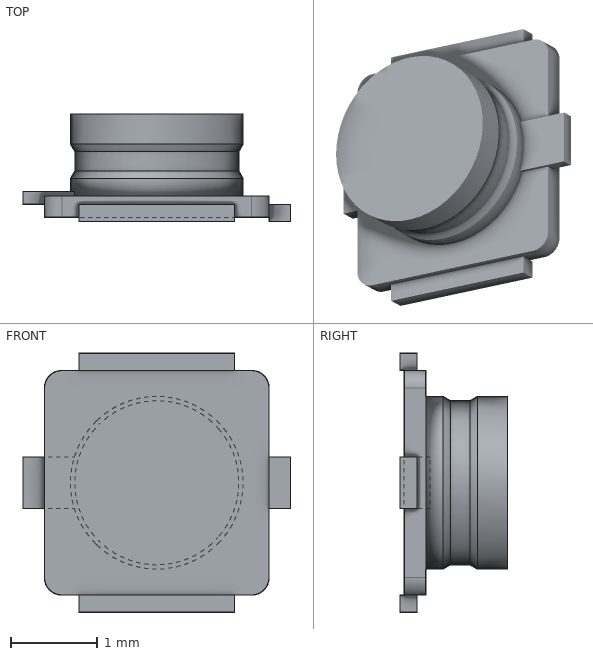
import cadquery as cq
import math

length_x = 3.1
height_y = 1.25
length_z = 3.0

plate_side = 2.6
plate_corner_radius = 0.2
plate_standoff = 0.05
plate_thickness = 0.25
plate_back = plate_standoff + plate_thickness

pad_thickness = 0.2
ground_pad_width = 1.8
contact_width = 0.6

tab_bottom = pad_thickness
tab_thickness = 0.15
tab_inner_x = -0.9

barrel_radius = 2.0 / 2
groove_radius = 1.9 / 2
groove_start = 0.5
groove_end = 0.9
groove_flank_angle = 30
flank_length = (barrel_radius - groove_radius) / math.tan(math.radians(groove_flank_angle))


def block(x_range, y_range, z_range):
    """Box spanning the given (low, high) limits along each axis."""
    x_low, x_high = x_range
    y_low, y_high = y_range
    z_low, z_high = z_range
    size = (x_high - x_low, y_high - y_low, z_high - z_low)
    return cq.Workplane("XY").box(*size, centered=False).translate((x_low, y_low, z_low))


def base_plate():
    half = plate_side / 2
    plate = block((-half, half), (plate_standoff, plate_back), (-half, half))
    return plate.edges("|Y").fillet(plate_corner_radius)


def barrel():
    return (
        cq.Workplane("XY")
        .moveTo(0, plate_standoff + plate_thickness / 2)
        .lineTo(barrel_radius, plate_standoff + plate_thickness / 2)
        .lineTo(barrel_radius, groove_start)
        .lineTo(groove_radius, groove_start + flank_length)
        .lineTo(groove_radius, groove_end - flank_length)
        .lineTo(barrel_radius, groove_end)
        .lineTo(barrel_radius, height_y)
        .lineTo(0, height_y)
        .close()
        .revolve(360, (0, 0, 0), (0, 1, 0))
    )


def ground_pad(side):
    """Long pad against the +Z (side = 1) or -Z (side = -1) plate edge."""
    z_range = sorted((side * plate_side / 2, side * length_z / 2))
    half_width = ground_pad_width / 2
    return block((-half_width, half_width), (0, pad_thickness), z_range)


def contact_pad():
    half_width = contact_width / 2
    return block((plate_side / 2, length_x / 2), (0, pad_thickness), (-half_width, half_width))


def signal_tab():
    half_width = contact_width / 2
    return block(
        (-length_x / 2, tab_inner_x),
        (tab_bottom, tab_bottom + tab_thickness),
        (-half_width, half_width),
    )


result = base_plate().union(barrel()).union(contact_pad()).union(signal_tab())
for side in (-1, 1):
    result = result.union(ground_pad(side))